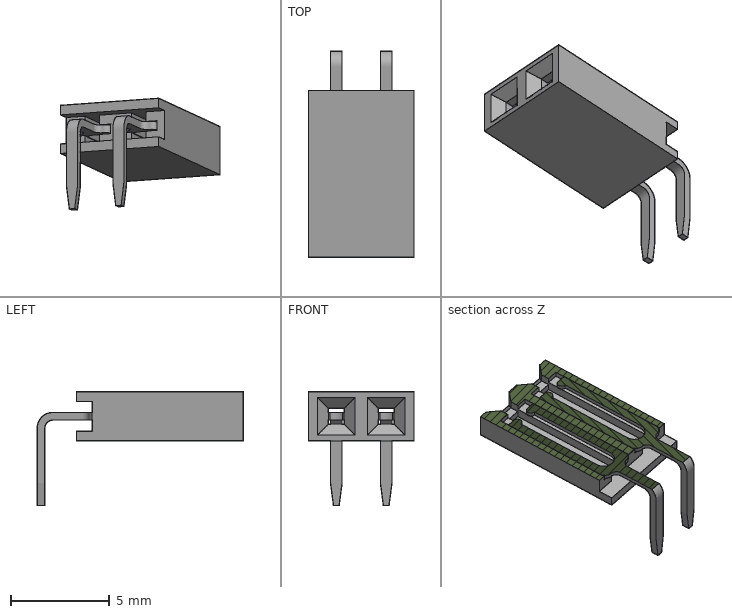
import cadquery as cq
import math


contact_count = 2
pitch = 2.54
end_margin = 0.15
housing_width = contact_count * pitch + 2 * end_margin
housing_length = 8.5
housing_height = 2.5

notch_height = 1.5
notch_depth = 0.8
notch_floor_y = housing_length - notch_depth

funnel_mouth = 1.9
entry_hole = 0.8
funnel_depth = (funnel_mouth - entry_hole) / 2
entry_wall = 1.0

strip_thickness = 0.4
pin_width = 0.6
pin_reach = 2.0
bend_outer_radius = 0.8
bend_inner_radius = bend_outer_radius - strip_thickness
tip_width = 0.3
tip_length = 1.15
tail_below_housing = 3.3
tip_z = -housing_height / 2 - tail_below_housing
taper_z = tip_z + tip_length
tail_rear_y = housing_length + pin_reach
tail_front_y = tail_rear_y - strip_thickness
bend_start_y = tail_rear_y - bend_outer_radius

flare_radius = 0.35
flare_start_y = 8.2
fork_shoulder_y = flare_start_y - flare_radius
fork_root_radius = 0.55
tine_thickness = 0.45
fork_half_width = fork_root_radius + tine_thickness
shoulder_radius = fork_half_width - pin_width / 2 - flare_radius
fork_root_centre_y = fork_shoulder_y - tine_thickness - fork_root_radius
fork_tip_y = 1.5
grip_radius = 0.23
grip_centre_y = fork_tip_y + grip_radius

fork_slot_height = 0.5

socket_positions = [(i - (contact_count - 1) / 2) * pitch for i in range(contact_count)]


def box_between(width, start_y, end_y, height):
    """Block centred on the Y axis in X and Z, running from start_y to end_y."""
    length = end_y - start_y
    return cq.Workplane("XY").box(width, length, height).translate((0, start_y + length / 2, 0))


def make_socket_cutter():
    """Space removed for one socket: funnel, entry hole, pin cavity and fork slot."""
    funnel = (
        cq.Workplane("XZ")
        .rect(funnel_mouth, funnel_mouth)
        .workplane(offset=-funnel_depth)
        .rect(entry_hole, entry_hole)
        .loft(ruled=True)
    )
    hole = box_between(entry_hole, funnel_depth, entry_wall, entry_hole)
    cavity = box_between(entry_hole, entry_wall, notch_floor_y, notch_height)
    fork_slot = box_between(2 * fork_half_width, entry_wall, notch_floor_y, fork_slot_height)
    return funnel.union(hole).union(cavity).union(fork_slot)


def make_housing():
    """Block with a full-width rear notch and one socket per contact."""
    housing = box_between(housing_width, 0, housing_length, housing_height)
    housing = housing.cut(box_between(housing_width, notch_floor_y, housing_length, notch_height))
    socket_cutter = make_socket_cutter()
    for x in socket_positions:
        housing = housing.cut(socket_cutter.translate((x, 0, 0)))
    return housing


def quarter_arc_middle(centre, radius, x_sign, y_sign):
    """Middle point of a quarter circle in the quadrant given by the two signs."""
    offset = radius * math.sqrt(0.5)
    return centre[0] + x_sign * offset, centre[1] + y_sign * offset


def make_fork():
    """Flat U-shaped fork with a grip on each tine, joined to the pin by S-shaped shoulders."""
    half_pin = pin_width / 2
    shoulder_x = half_pin + flare_radius
    shoulder_end_y = fork_shoulder_y - shoulder_radius
    flare_middle = quarter_arc_middle((shoulder_x, flare_start_y), flare_radius, -1, -1)
    shoulder_middle = quarter_arc_middle((shoulder_x, shoulder_end_y), shoulder_radius, 1, 1)
    half_fork = (
        cq.Workplane("XY")
        .workplane(offset=-strip_thickness / 2)
        .moveTo(0, flare_start_y)
        .lineTo(half_pin, flare_start_y)
        .threePointArc(flare_middle, (shoulder_x, fork_shoulder_y))
        .threePointArc(shoulder_middle, (fork_half_width, shoulder_end_y))
        .lineTo(fork_half_width, fork_tip_y)
        .lineTo(fork_root_radius, fork_tip_y)
        .threePointArc(
            (fork_root_radius - grip_radius, grip_centre_y),
            (fork_root_radius, grip_centre_y + grip_radius),
        )
        .lineTo(fork_root_radius, fork_root_centre_y)
        .threePointArc(
            quarter_arc_middle((0, fork_root_centre_y), fork_root_radius, 1, 1),
            (0, fork_root_centre_y + fork_root_radius),
        )
        .close()
        .extrude(strip_thickness)
    )
    return half_fork.union(half_fork.mirror("YZ")).clean()


def make_bent_tail():
    """Strip running back from the fork, bent down to a tail with a tapered tip."""
    half_thickness = strip_thickness / 2
    bend_end_z = half_thickness - bend_outer_radius
    strip = (
        cq.Workplane("YZ")
        .workplane(offset=-pin_width / 2)
        .moveTo(flare_start_y, half_thickness)
        .lineTo(bend_start_y, half_thickness)
        .radiusArc((tail_rear_y, bend_end_z), bend_outer_radius)
        .lineTo(tail_rear_y, tip_z)
        .lineTo(tail_front_y, tip_z)
        .lineTo(tail_front_y, bend_end_z)
        .radiusArc((bend_start_y, -half_thickness), -bend_inner_radius)
        .lineTo(flare_start_y, -half_thickness)
        .close()
        .extrude(pin_width)
    )
    front_outline = (
        cq.Workplane("XZ", origin=(0, flare_start_y, 0))
        .moveTo(-pin_width / 2, half_thickness)
        .lineTo(pin_width / 2, half_thickness)
        .lineTo(pin_width / 2, taper_z)
        .lineTo(tip_width / 2, tip_z)
        .lineTo(-tip_width / 2, tip_z)
        .lineTo(-pin_width / 2, taper_z)
        .close()
        .extrude(flare_start_y - tail_rear_y)
    )
    return strip.intersect(front_outline)


def make_contact(x):
    """One contact in its socket at the given X position."""
    return make_fork().union(make_bent_tail()).translate((x, 0, 0))


housing = make_housing()
contacts = [make_contact(x) for x in socket_positions]

result = cq.Compound.makeCompound([housing.val(), *[contact.val() for contact in contacts]])